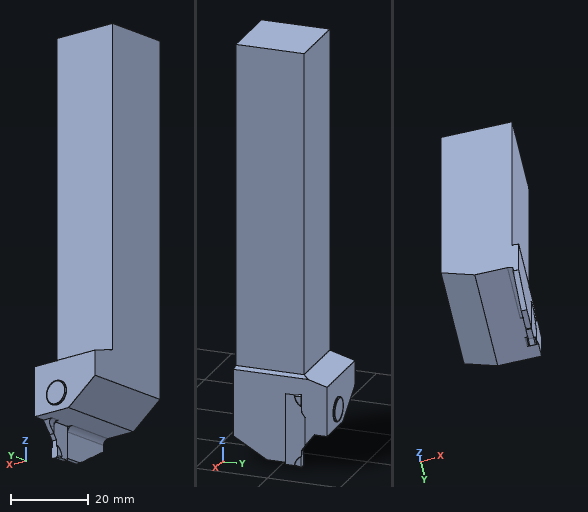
import cadquery as cq
import math

total_height = 114.3
shank_size = 19.0
head_width = 20.7
head_depth = 26.0

shank_bottom = 25.3
head_bottom = 9.6
shoulder_angle = 15.5
corner_cut_top = 16.5
corner_cut_width = 9.0

blade_thickness = 1.5
blade_left = head_width - blade_thickness
blade_bottom = 0.9
blade_front_height = 6.3
blade_slope_end = 9.3
blade_back = 22.4
blade_fillet = 1.5

screw_x = 13.0
screw_z = 14.5
screw_diameter = 6.6
screw_height = 0.5
screw_chamfer = 0.2

insert_length = 20.3
insert_seat = 14.4
insert_back = 19.9
tip_back = 18.9
tip_straight = 4.8
tip_slope_end = 6.3
tip_front_rise = 0.3
tip_width = 2.2
tip_overhang = 0.3
tip_height = 3.2
tip_depth = 1.8
tip_bulge = -0.5
tip_corner = 0.3


def side_prism(profile, left, width):
    """Extrude a closed YZ profile along +X from the given left face."""
    return profile.extrude(width).translate((left, 0, 0))


def make_head():
    """Head block with two sloping shoulders and a cut lower corner."""
    outline = [
        (0, corner_cut_top),
        (corner_cut_width, head_bottom),
        (head_width, head_bottom),
        (head_width, shank_bottom),
        (0, shank_bottom),
    ]
    head = cq.Workplane("XZ").polyline(outline).close().extrude(-head_depth)
    slope = math.tan(math.radians(shoulder_angle))
    side_drop = slope * (head_width - shank_size)
    back_drop = slope * (head_depth - shank_size)
    side_cutter = (
        cq.Workplane("XZ")
        .moveTo(shank_size, shank_bottom)
        .lineTo(head_width, shank_bottom)
        .lineTo(head_width, shank_bottom - side_drop)
        .close()
        .extrude(-head_depth)
    )
    back_profile = (
        cq.Workplane("YZ")
        .moveTo(shank_size, shank_bottom)
        .lineTo(head_depth, shank_bottom)
        .lineTo(head_depth, shank_bottom - back_drop)
        .close()
    )
    return head.cut(side_cutter).cut(side_prism(back_profile, 0, head_width))


def make_blade():
    """Thin plate below the head, with a concave fillet at its root."""
    back_slope = (blade_back - insert_back) / (head_bottom - tip_slope_end)
    blade_bottom_back = insert_back - back_slope * (tip_slope_end - blade_bottom)
    profile = (
        cq.Workplane("YZ")
        .moveTo(0, head_bottom)
        .lineTo(0, blade_front_height)
        .lineTo(blade_slope_end, blade_bottom)
        .lineTo(blade_bottom_back, blade_bottom)
        .lineTo(blade_back, head_bottom)
        .close()
    )
    fillet_left = blade_left - blade_fillet
    blade = side_prism(profile, fillet_left, blade_thickness + blade_fillet)
    side_space = cq.Workplane("XY").box(blade_fillet, head_depth, head_bottom, centered=False)
    fillet_round = (
        cq.Workplane("XZ")
        .center(fillet_left, head_bottom - blade_fillet)
        .circle(blade_fillet)
        .extrude(-head_depth)
    )
    lower_space = side_space.translate((fillet_left, 0, -blade_fillet))
    return blade.cut(lower_space).cut(fillet_round)


def make_screw_head():
    """Low chamfered disc on the back face, facing +Y."""
    return (
        cq.Workplane("XZ", origin=(screw_x, head_depth, screw_z))
        .circle(screw_diameter / 2)
        .extrude(-screw_height)
        .faces(">Y")
        .chamfer(screw_chamfer)
    )


def make_insert_half():
    """Lower half of the insert: a thin body with a wider cutting tip."""
    middle = insert_length / 2
    body_profile = (
        cq.Workplane("YZ")
        .moveTo(insert_seat, middle)
        .lineTo(insert_seat, tip_front_rise)
        .lineTo(tip_back - tip_depth, tip_front_rise)
        .lineTo(tip_back, 0)
        .lineTo(tip_back, tip_straight)
        .lineTo(insert_back, tip_slope_end)
        .lineTo(insert_back, middle)
        .close()
    )
    body = side_prism(body_profile, blade_left, blade_thickness)
    tip_profile = (
        cq.Workplane("YZ")
        .moveTo(tip_back, 0)
        .lineTo(tip_back, tip_height)
        .sagittaArc((tip_back - tip_depth, tip_front_rise), tip_bulge)
        .close()
    )
    tip = side_prism(tip_profile, blade_left - tip_overhang, tip_width)
    rounded_tip = tip.edges("<X or >X").edges("<Z").chamfer(tip_corner)
    return body.union(rounded_tip)


def make_insert():
    """Two identical ends mirrored about the insert's mid-height."""
    half = make_insert_half()
    other_half = half.mirror("XY", (0, 0, insert_length / 2))
    return half.union(other_half)


def make_holder(insert):
    """Shank, head, blade and screw head in one piece, with an insert pocket."""
    shank_height = total_height - shank_bottom
    shank = cq.Workplane("XY").box(shank_size, shank_size, shank_height, centered=False)
    holder = shank.translate((0, 0, shank_bottom)).union(make_head())
    holder = holder.union(make_blade()).union(make_screw_head())
    chip_space = cq.Workplane("XY").box(head_width, head_depth, tip_slope_end, centered=False)
    holder = holder.cut(chip_space.translate((0, insert_seat, 0)))
    fillet_gap = cq.Workplane("XY").box(blade_left, insert_back - insert_seat, head_bottom, centered=False)
    return holder.cut(fillet_gap.translate((0, insert_seat, 0))).cut(insert)


insert = make_insert()
holder = make_holder(insert)

result = cq.Compound.makeCompound([holder.solids().val(), insert.solids().val()])